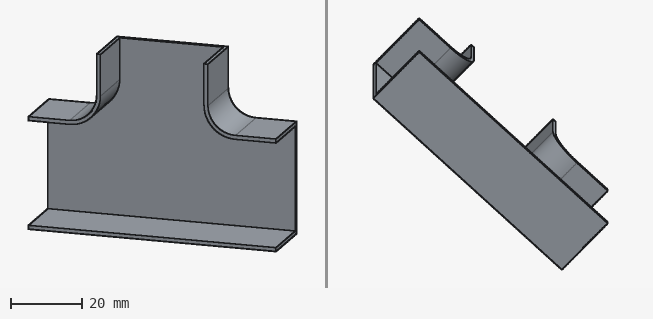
import cadquery as cq

length = 72.9
depth = 18.7
height = 52.9

run_height = 32.9
branch_width = 32.8
wall = 1.2
bend_radius = 8.0


def tee_outline(inset):
    """T outline in the XZ plane, with the walls moved inward by inset and the ends left in place."""
    half_length = length / 2
    half_branch = branch_width / 2 - inset
    shoulder = run_height - inset
    radius = bend_radius + inset
    return (
        cq.Workplane("XZ")
        .moveTo(-half_length, inset)
        .lineTo(half_length, inset)
        .lineTo(half_length, shoulder)
        .lineTo(half_branch + radius, shoulder)
        .radiusArc((half_branch, shoulder + radius), radius)
        .lineTo(half_branch, height)
        .lineTo(-half_branch, height)
        .lineTo(-half_branch, shoulder + radius)
        .radiusArc((-half_branch - radius, shoulder), radius)
        .lineTo(-half_length, shoulder)
        .close()
    )


body = tee_outline(0).extrude(depth)
cavity = tee_outline(wall).extrude(depth - wall).translate((0, -wall, 0))
result = body.cut(cavity)